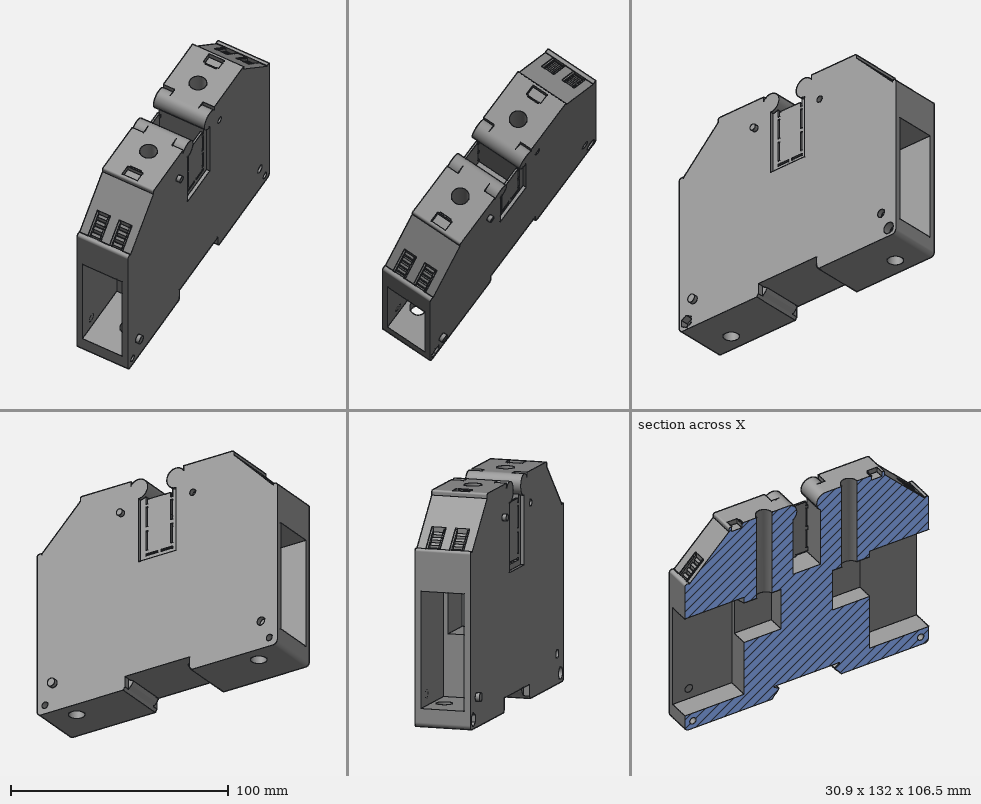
import cadquery as cq
import math

WIDTH = 26.9
LENGTH = 132.0
HEIGHT = 106.5
HALF_WIDTH = WIDTH / 2
HALF_LENGTH = LENGTH / 2

TOP_HALF_LENGTH = 42.2
TOP_LIP_HEIGHT = 2.3
SHOULDER_Z = 83.3
SHOULDER_LIP = 2.4
SHOULDER_RADIUS = 1.3
TOP_EDGE_RADIUS = 1.0
BOTTOM_RADIUS = 2.2
SLOPE_TOP_Z = HEIGHT - TOP_LIP_HEIGHT
SLOPE_END_Y = HALF_LENGTH - SHOULDER_LIP
SLOPE_END_Z = SLOPE_TOP_Z - (SLOPE_END_Y - TOP_HALF_LENGTH)

RAIL_HALF_LENGTH = 17.7
RAIL_DEPTH = 6.8
RAIL_CHAMFER_LENGTH = 1.0
RAIL_CHAMFER_HEIGHT = 1.4
FOOT_TIP_Y = 14.9
FOOT_TIP_Z = 4.9
FOOT_HEEL_Y = 16.0
FOOT_HEEL_Z = 3.1
FOOT_TOP_Z = 6.6
FOOT_WIDTH = 21.0

NOSE_RADIUS = 5.0
NOSE_Y = 10.25
NOSE_Z = HEIGHT - NOSE_RADIUS
NOSE_RELIEF_END_Y = 14.5
NOSE_RELIEF_WIDTH = 6.0
OPENING_HALF_LENGTH = 7.35
OPENING_FLOOR_Z = 66.8
RECESS_DEPTH = 1.7
RECESS_FLOOR_Z = 64.0
PANEL_THICKNESS = 1.0
PANEL_TOP_Z = 95.8
PANEL_SLIT = 1.0
PANEL_SLIT_SPANS = [(69.8, 79.7), (81.8, 92.0), (93.6, PANEL_TOP_Z)]
PANEL_BRIDGE_HALF_LENGTH = 0.95

ENTRY_WIDTH = 21.0
ENTRY_BOTTOM_Z = 8.9
ENTRY_TOP_Z = 63.7
ENTRY_DEPTH = 32.0
CLAMP_WIDTH = 16.6
CLAMP_BOTTOM_Z = 38.3
CLAMP_SHOULDER_Z = 58.5
CLAMP_PEAK_Z = 60.5
CLAMP_DEPTH = 20.0
DRAIN_DIAMETER = 7.6
DRAIN_X = 4.6
DRAIN_Y = 50.0

SCREW_HOLE_DIAMETER = 8.1
SCREW_HOLE_Y = 23.0
LATCH_WIDTH = 8.05
LATCH_INNER_Y = 35.2
LATCH_OUTER_Y = 40.5
LATCH_DEPTH = 2.6
LATCH_STEP_WIDTH = 5.9
LATCH_STEP_LENGTH = 0.65
LATCH_STEP_DEPTH = 0.5

VENT_SPACING = 11.45
VENT_WIDTH = 6.8
VENT_INNER_WIDTH = 5.05
VENT_TOP_Y = 54.5
VENT_RIM_DEPTH = 0.45
VENT_FLOOR_DEPTH = 1.7
TOOTH_RUN = 1.05
TOOTH_COUNT = 4

PIN_LENGTH = 2.0
SOCKET_DEPTH = 2.5
PIN_PLACES = [(57.0, 14.2, 4.1), (19.5, 91.4, 3.2)]

ASSEMBLY_Y = 61.6
ASSEMBLY_Z = 4.4
ASSEMBLY_DIAMETER = 3.2
ASSEMBLY_HEAD_DIAMETER = 5.7
NUT_ACROSS_FLATS = 5.7
SEAT_DEPTH = 4.0


def block(x_span, y_span, z_span):
    """Box given by its limits along each axis, in any order."""
    spans = [sorted(span) for span in (x_span, y_span, z_span)]
    sizes = [high - low for low, high in spans]
    corner = [low for low, high in spans]
    return cq.Workplane("XY").box(*sizes, centered=False).translate(tuple(corner))


def side_prism(points, width, x_center=0):
    """Closed Y-Z outline extruded along X, centred on x_center."""
    prism = cq.Workplane("YZ").polyline(points).close().extrude(width / 2, both=True)
    return prism.translate((x_center, 0, 0))


def x_cylinder(diameter, x_start, length, y, z):
    """Cylinder along X; a negative length runs towards -X."""
    return cq.Workplane("YZ").center(y, z).circle(diameter / 2).extrude(length).translate((x_start, 0, 0))


def z_cylinder(diameter, x, y, z_span):
    low, high = z_span
    return cq.Workplane("XY").center(x, y).circle(diameter / 2).extrude(high - low).translate((0, 0, low))


def outline():
    right = [
        (RAIL_HALF_LENGTH, RAIL_DEPTH),
        (RAIL_HALF_LENGTH, RAIL_CHAMFER_HEIGHT),
        (RAIL_HALF_LENGTH + RAIL_CHAMFER_LENGTH, 0),
        (HALF_LENGTH, 0),
        (HALF_LENGTH, SHOULDER_Z),
        (SLOPE_END_Y, SHOULDER_Z),
        (SLOPE_END_Y, SLOPE_END_Z),
        (TOP_HALF_LENGTH, SLOPE_TOP_Z),
        (TOP_HALF_LENGTH, HEIGHT),
    ]
    left = [(-y, z) for y, z in reversed(right)]
    body = side_prism(right + left, WIDTH)
    for side in (-1, 1):
        shoulder = cq.selectors.NearestToPointSelector((0, side * HALF_LENGTH, SHOULDER_Z))
        top_edge = cq.selectors.NearestToPointSelector((0, side * TOP_HALF_LENGTH, HEIGHT))
        bottom = cq.selectors.NearestToPointSelector((0, side * HALF_LENGTH, 0))
        body = body.edges(shoulder).fillet(SHOULDER_RADIUS)
        body = body.edges(top_edge).fillet(TOP_EDGE_RADIUS)
        body = body.edges(bottom).fillet(BOTTOM_RADIUS)
    return body


def rail_foot(side):
    points = [
        (side * (RAIL_HALF_LENGTH + RAIL_CHAMFER_LENGTH), RAIL_CHAMFER_HEIGHT),
        (side * RAIL_HALF_LENGTH, RAIL_CHAMFER_HEIGHT),
        (side * FOOT_HEEL_Y, FOOT_HEEL_Z),
        (side * FOOT_TIP_Y, FOOT_TIP_Z),
        (side * RAIL_HALF_LENGTH, FOOT_TOP_Z),
        (side * (RAIL_HALF_LENGTH + RAIL_CHAMFER_LENGTH), FOOT_TOP_Z),
    ]
    return side_prism(points, FOOT_WIDTH)


def central_cut():
    """Opening between the noses, down to its floor, plus the recesses in both side faces."""
    full_x = (-HALF_WIDTH, HALF_WIDTH)
    cut = block(full_x, (-OPENING_HALF_LENGTH, OPENING_HALF_LENGTH), (OPENING_FLOOR_Z, HEIGHT))
    cut = cut.union(block(full_x, (-NOSE_Y, NOSE_Y), (NOSE_Z, HEIGHT)))
    for side in (-1, 1):
        face = side * HALF_WIDTH
        recess_x = (face, face - side * RECESS_DEPTH)
        relief_x = (face, face - side * NOSE_RELIEF_WIDTH)
        cut = cut.union(block(recess_x, (-NOSE_Y, NOSE_Y), (RECESS_FLOOR_Z, NOSE_Z)))
        cut = cut.union(block(relief_x, (-NOSE_RELIEF_END_Y, NOSE_RELIEF_END_Y), (NOSE_Z, HEIGHT)))
    return cut


def knockout_panel(side):
    """Thin panel held in the opening by bridges between its perimeter slits."""
    outer_x = side * (HALF_WIDTH - RECESS_DEPTH)
    x_span = (outer_x, outer_x - side * PANEL_THICKNESS)
    y_span = (-OPENING_HALF_LENGTH, OPENING_HALF_LENGTH)
    panel = block(x_span, y_span, (OPENING_FLOOR_Z, PANEL_TOP_Z))
    for end in (-1, 1):
        edge = end * OPENING_HALF_LENGTH
        for z_span in PANEL_SLIT_SPANS:
            panel = panel.cut(block(x_span, (edge, edge - end * PANEL_SLIT), z_span))
        bottom_z = (OPENING_FLOOR_Z, OPENING_FLOOR_Z + PANEL_SLIT)
        panel = panel.cut(block(x_span, (edge, end * PANEL_BRIDGE_HALF_LENGTH), bottom_z))
    return panel


def entry_pocket(side):
    """Rectangular pocket in the end face, with the gabled clamp opening and drain hole inside it."""
    half = ENTRY_WIDTH / 2
    back_y = HALF_LENGTH - ENTRY_DEPTH
    pocket = block((-half, half), (side * HALF_LENGTH, side * back_y), (ENTRY_BOTTOM_Z, ENTRY_TOP_Z))
    clamp_half = CLAMP_WIDTH / 2
    gable = [
        (-clamp_half, CLAMP_BOTTOM_Z),
        (clamp_half, CLAMP_BOTTOM_Z),
        (clamp_half, CLAMP_SHOULDER_Z),
        (0, CLAMP_PEAK_Z),
        (-clamp_half, CLAMP_SHOULDER_Z),
    ]
    clamp = cq.Workplane("XZ").polyline(gable).close().extrude(side * CLAMP_DEPTH)
    clamp = clamp.translate((0, side * back_y, 0))
    drain = z_cylinder(DRAIN_DIAMETER, DRAIN_X, side * DRAIN_Y, (0, ENTRY_BOTTOM_Z))
    return pocket.union(clamp).union(drain)


def top_openings(side):
    """Clamp screw hole and stepped latch pocket."""
    hole = z_cylinder(SCREW_HOLE_DIAMETER, 0, side * SCREW_HOLE_Y, (CLAMP_SHOULDER_Z, HEIGHT))
    half = LATCH_WIDTH / 2
    step_half = LATCH_STEP_WIDTH / 2
    latch_y = (side * LATCH_INNER_Y, side * LATCH_OUTER_Y)
    step_y = (side * (LATCH_INNER_Y - LATCH_STEP_LENGTH), side * LATCH_INNER_Y)
    latch = block((-half, half), latch_y, (HEIGHT - LATCH_DEPTH, HEIGHT))
    step = block((-step_half, step_half), step_y, (HEIGHT - LATCH_STEP_DEPTH, HEIGHT))
    return hole.union(latch).union(step)


def slope_z(y):
    """Height of the 45-degree slope at distance y from the middle."""
    return SLOPE_TOP_Z + TOP_HALF_LENGTH - y


def vent(side, x):
    """Shallow rim around a deeper saw-tooth floor, cut into one slope.

    Going down the slope, each tooth is a stretch parallel to the slope, a vertical drop and a ramp up.
    """
    top_z = slope_z(VENT_TOP_Y)
    rim_drop = VENT_RIM_DEPTH * math.sqrt(2)
    y = VENT_TOP_Y
    z = top_z - VENT_FLOOR_DEPTH * math.sqrt(2)
    rim = [
        (y, top_z),
        (y, top_z - rim_drop),
        (SLOPE_END_Y, SLOPE_END_Z - rim_drop),
        (SLOPE_END_Y, SLOPE_END_Z),
    ]
    floor = [(y, top_z), (y, z)]
    for _ in range(TOOTH_COUNT):
        y += TOOTH_RUN
        z -= TOOTH_RUN
        floor.append((y, z))
        z -= 2 * TOOTH_RUN
        floor.append((y, z))
        y += TOOTH_RUN
        z += TOOTH_RUN
        floor.append((y, z))
    floor.append((SLOPE_END_Y, z - (SLOPE_END_Y - y)))
    floor.append((SLOPE_END_Y, SLOPE_END_Z))
    cut = side_prism([(side * py, pz) for py, pz in rim], VENT_WIDTH, x)
    return cut.union(side_prism([(side * py, pz) for py, pz in floor], VENT_INNER_WIDTH, x))


def assembly_hole(end):
    """Cross hole with a round seat at the -Y end and a hexagonal one at the +Y end, in the -X face."""
    y = end * ASSEMBLY_Y
    hole = x_cylinder(ASSEMBLY_DIAMETER, -HALF_WIDTH, WIDTH, y, ASSEMBLY_Z)
    if end < 0:
        seat = x_cylinder(ASSEMBLY_HEAD_DIAMETER, -HALF_WIDTH, SEAT_DEPTH, y, ASSEMBLY_Z)
    else:
        across_corners = NUT_ACROSS_FLATS / math.cos(math.pi / 6)
        seat = cq.Workplane("YZ").polygon(6, across_corners).extrude(SEAT_DEPTH)
        seat = seat.rotate((0, 0, 0), (1, 0, 0), 90).translate((-HALF_WIDTH, y, ASSEMBLY_Z))
    return hole.union(seat)


def build():
    part = outline().cut(central_cut())
    for side in (-1, 1):
        part = part.union(x_cylinder(2 * NOSE_RADIUS, -HALF_WIDTH, WIDTH, side * NOSE_Y, NOSE_Z))
        part = part.union(knockout_panel(side))
        part = part.union(rail_foot(side))
        part = part.cut(entry_pocket(side))
        part = part.cut(top_openings(side))
        part = part.cut(assembly_hole(side))
        for x in (-VENT_SPACING / 2, VENT_SPACING / 2):
            part = part.cut(vent(side, x))
        for distance, z, diameter in PIN_PLACES:
            y = side * distance
            part = part.union(x_cylinder(diameter, -side * HALF_WIDTH, -side * PIN_LENGTH, y, z))
            part = part.cut(x_cylinder(diameter, side * HALF_WIDTH, -side * SOCKET_DEPTH, y, z))
    return part


result = build()